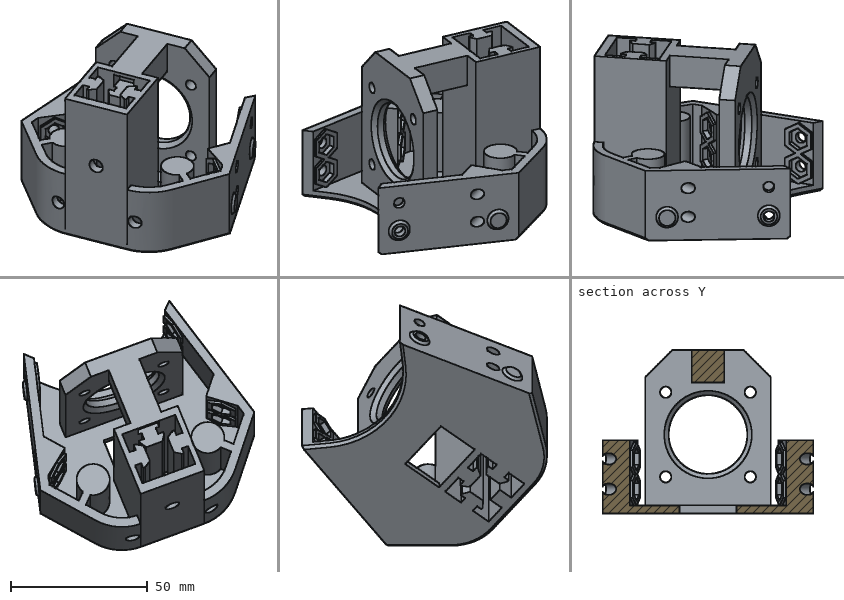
import cadquery as cq
import math

half_width = 42.0
corner_y = 25.4
tip_x = 28.6
tip_y = 76.9
front_corner_x = 21.7
front_radius = 19.3
scallop_y = 60.9
tray_height = 27.0
floor = 3.0
wall = 3.5
bottom_chamfer = 1.1
outline_end_y = tip_y + 16.8

tower_half = 12.5
tower_depth = 27.0
total_height = 60.0
cavity_half = 10.4
cavity_front = 3.6
cavity_back = 24.0
cavity_mid = (cavity_front + cavity_back) / 2
window_back = 42.8

key_neck_half = 2.8
key_neck = 2.4
key_depth = 5.7
key_shoulder_half = 4.8
key_shoulder = 0.75
key_tip_half = 3.1
front_key_depth = 5.4
front_key_top = tray_height
back_key_top = 53.3
pocket_half = 4.0
pocket_depth = 5.0
pocket_top = 58.5

plate_half = 23.0
plate_front = 49.0
plate_back = 54.9
plate_thickness = plate_back - plate_front
plate_bevel = 10.0
motor_z = 29.0
motor_bore_radius = 14.4
motor_bore_bevel = 1.7
screw_spacing = 31.0
bridge_size = 12.0
access_radius = 2.5
clamp_radius = 2.7
clamp_z = 33.9

post_x = 22.5
post_y = 22.3
post_radius = 6.05
post_rib = 3.0
post_rib_length = 10.9
post_rib_angle = 45

hole_radius = 2.0
hole_heights = (9.0, 20.1)
wall_hole_along = 45.3
button_along = 8.0
button_radius = 4.0
button_height = 1.0
button_taper = 45
ear_tip_x = -27.7
ear_tip_y = 37.4
ear_size = 33.6
ear_hole_along = 6.05
ear_hole_length = 16.8
nut_rim_flats = 10.75
nut_flats = 7.2
nut_rim_height = 1.0
nut_depth = 2.2

side_angle = math.atan2(tip_y - corner_y, half_width - tip_x)
side_dir = cq.Vector(math.cos(side_angle), math.sin(side_angle), 0)
side_inward = cq.Vector(math.sin(side_angle), -math.cos(side_angle), 0)
slant_angle = math.atan2(-corner_y, half_width - front_corner_x)
slant_dir = cq.Vector(math.cos(slant_angle), math.sin(slant_angle), 0)
slant_inward = cq.Vector(-math.sin(slant_angle), math.cos(slant_angle), 0)


def block(x0, x1, y0, y1, z0, z1):
    return cq.Workplane("XY").box(x1 - x0, y1 - y0, z1 - z0, centered=False).translate((x0, y0, z0))


def both_sides(shape):
    return shape.union(shape.mirror("YZ"))


def upright_plane(point, z, normal):
    """Vertical plane at a plan point, facing along `normal`, with its local y pointing up."""
    return cq.Plane(origin=(point.x, point.y, z), xDir=cq.Vector(0, 0, 1).cross(normal), normal=normal)


def hexagon(plane, flats, height):
    """Hexagonal prism with corners at the top and bottom."""
    corner_diameter = flats / math.cos(math.pi / 6)
    return cq.Workplane(plane).transformed(rotate=(0, 0, 90)).polygon(6, corner_diameter).extrude(height)


def disc(plane, radius, start, end):
    return cq.Workplane(plane).workplane(offset=start).circle(radius).extrude(end - start)


def full_outline():
    """Tray outline, with the side walls carried on past their tips."""
    end_x = -half_width + (outline_end_y - corner_y) / math.tan(side_angle)
    left = [(-front_corner_x, 0), (-half_width, corner_y), (end_x, outline_end_y)]
    right = [(-x, y) for x, y in reversed(left)]
    prism = cq.Workplane("XY").polyline(left + right).close().extrude(tray_height)
    front_zone = cq.selectors.BoxSelector((-half_width, -0.8, -0.8), (half_width, 0.8, tray_height + 0.8))
    return prism.edges("|Z").edges(front_zone).fillet(front_radius)


def scallop_cutter():
    """Round cut at the back, with 45 degree tangent lines up to the wall tips."""
    radius = (scallop_y - tip_y + tip_x) / (math.sqrt(2) - 1)
    tangent_x = radius * math.sin(math.pi / 4)
    tangent_y = scallop_y + radius - tangent_x
    end_x = tip_x + outline_end_y - tip_y
    profile = (
        cq.Workplane("XY")
        .moveTo(-end_x, outline_end_y)
        .lineTo(-tangent_x, tangent_y)
        .threePointArc((0, scallop_y), (tangent_x, tangent_y))
        .lineTo(end_x, outline_end_y)
        .close()
    )
    return profile.extrude(tray_height)


def key(top):
    """T-shaped key that points along +X from its root at the origin."""
    half = [
        (0, key_neck_half),
        (key_neck, key_neck_half),
        (key_neck, key_shoulder_half),
        (key_neck + key_shoulder, key_shoulder_half),
        (key_depth, key_tip_half),
    ]
    other_half = [(x, -y) for x, y in reversed(half)]
    return cq.Workplane("XY").polyline(half + other_half).close().extrude(top)


outline = full_outline()
scallop = scallop_cutter()
left_wall_edges = cq.selectors.ParallelDirSelector(side_dir)
right_wall_edges = cq.selectors.ParallelDirSelector(cq.Vector(-side_dir.x, side_dir.y, 0))
tray_solid = outline.cut(scallop)
bottom_edges = tray_solid.faces("<Z").edges()
tray_solid = bottom_edges.edges(-(left_wall_edges + right_wall_edges)).chamfer(bottom_chamfer)
hollow = outline.faces(">Z").wires().toPending().offset2D(-wall, "intersection")
hollow = hollow.extrude(-tray_height, combine=False)
above_floor = block(-half_width, half_width, 0, outline_end_y, floor, tray_height)
tray = tray_solid.cut(hollow.intersect(above_floor))

ear_plane = cq.Plane(origin=(ear_tip_x, ear_tip_y, floor), xDir=-slant_dir, normal=(0, 0, 1))
ear = cq.Workplane(ear_plane).rect(ear_size, ear_size, centered=False).extrude(tray_height - floor)
tray = tray.union(both_sides(ear.intersect(tray_solid)))

post = cq.Workplane("XY").circle(post_radius).extrude(tray_height)
rib = block(-post_rib_length, 0, -post_rib / 2, post_rib / 2, 0, tray_height)
post = post.union(rib.rotate((0, 0, 0), (0, 0, 1), post_rib_angle)).translate((-post_x, post_y, 0))
tray = tray.union(both_sides(post.intersect(above_floor)))

side_corner = cq.Vector(-half_width, corner_y, 0)
for along in (wall_hole_along, button_along):
    plane = upright_plane(side_corner + side_dir * along, hole_heights[0], -side_inward)
    button = cq.Workplane(plane).circle(button_radius).extrude(button_height, taper=button_taper)
    tray = tray.union(both_sides(button))

wall_nut = side_corner + side_dir * wall_hole_along + side_inward * wall
wall_hole_length = wall + button_height
ear_nut = cq.Vector(ear_tip_x, ear_tip_y, 0) - slant_inward * ear_hole_along
rims = cq.Workplane("XY")
nut_cuts = cq.Workplane("XY")
for spot, normal, hole_length in (
    (wall_nut, side_inward, wall_hole_length),
    (ear_nut, slant_dir, ear_hole_length),
):
    for z in hole_heights:
        face_plane = upright_plane(spot, z, normal)
        pocket_plane = upright_plane(spot + normal * (nut_rim_height - nut_depth), z, normal)
        rims = rims.union(hexagon(face_plane, nut_rim_flats, nut_rim_height))
        nut_cuts = nut_cuts.union(hexagon(pocket_plane, nut_flats, nut_depth))
        nut_cuts = nut_cuts.union(disc(face_plane, hole_radius, -hole_length, nut_rim_height))
tray = tray.union(both_sides(rims.cut(scallop))).cut(both_sides(nut_cuts))

bridge_half = bridge_size / 2
bridge_bottom = total_height - bridge_size
tower = block(-tower_half, tower_half, 0, tower_depth, floor, total_height)
plate = block(-plate_half, plate_half, plate_front, plate_back, floor, total_height)
plate = plate.edges("|Y").edges(">Z").chamfer(plate_bevel)
bridge = block(-bridge_half, bridge_half, tower_depth, plate_front, bridge_bottom, total_height)
body = tray.union(tower).union(plate).union(bridge)

cavity = block(-cavity_half, cavity_half, cavity_front, cavity_back, 0, total_height)
window = block(-cavity_half, cavity_half, tower_depth, window_back, 0, floor)
pocket_back = cavity_back + pocket_depth
pocket = block(-pocket_half, pocket_half, cavity_back, pocket_back, back_key_top, pocket_top)
body = body.cut(cavity).cut(window).cut(pocket)

left_key = key(total_height).translate((-cavity_half, cavity_mid, 0))
back_key = key(back_key_top).rotate((0, 0, 0), (0, 0, 1), -90).translate((0, cavity_back, 0))
front_key_end = cavity_front + front_key_depth
front_key = block(-key_neck_half, key_neck_half, cavity_front, front_key_end, 0, front_key_top)
body = body.union(both_sides(left_key)).union(back_key).union(front_key)

motor_plane = cq.Plane(origin=(0, plate_front, motor_z), xDir=(1, 0, 0), normal=(0, 1, 0))
bore = disc(motor_plane, motor_bore_radius, 0, plate_thickness)
bevel = cq.Workplane(motor_plane).circle(motor_bore_radius + motor_bore_bevel)
bevel = bevel.workplane(offset=motor_bore_bevel).circle(motor_bore_radius).loft()
rear_bevel = bevel.mirror("XZ", (0, (plate_front + plate_back) / 2, 0))
screws = cq.Workplane(motor_plane).rect(screw_spacing, screw_spacing, forConstruction=True).vertices()
screws = screws.circle(hole_radius).extrude(plate_thickness)
body = body.cut(bore).cut(bevel).cut(rear_bevel).cut(screws)

access_z = motor_z - screw_spacing / 2
access_plane = cq.Plane(origin=(-screw_spacing / 2, 0, access_z), xDir=(1, 0, 0), normal=(0, 1, 0))
clamp_plane = cq.Plane(origin=(0, 0, clamp_z), xDir=(1, 0, 0), normal=(0, 1, 0))
access = both_sides(disc(access_plane, access_radius, 0, 2 * wall))
clamp = disc(clamp_plane, clamp_radius, 0, cavity_front)
result = body.cut(access).cut(clamp)